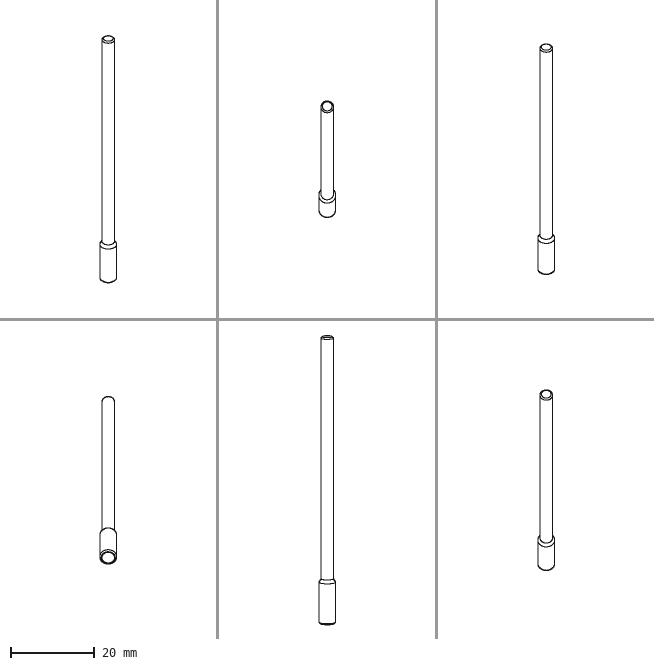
import cadquery as cq

total_length = 70.0
rod_diameter = 3.0
sleeve_diameter = 4.05

shoulder_bottom = 10.1
shoulder_height = 0.85
sleeve_chamfer = 0.35

rod_chamfer = 0.35

rod_radius = rod_diameter / 2
sleeve_radius = sleeve_diameter / 2
shoulder_top = shoulder_bottom + shoulder_height


def make_rod():
    """Straight round rod over the full length, chamfered at its top end."""
    rod = cq.Workplane("XY").circle(rod_radius).extrude(total_length)
    return rod.faces(">Z").chamfer(rod_chamfer)


def make_sleeve():
    """Turned sleeve around the lower end of the rod; its shoulder tapers to the rod surface."""
    return (
        cq.Workplane("XZ")
        .moveTo(rod_radius, 0)
        .lineTo(sleeve_radius - sleeve_chamfer, 0)
        .lineTo(sleeve_radius, sleeve_chamfer)
        .lineTo(sleeve_radius, shoulder_bottom)
        .lineTo(rod_radius, shoulder_top)
        .close()
        .revolve(360, (0, 0, 0), (0, 1, 0))
    )


rod = make_rod()
sleeve = make_sleeve()

result = cq.Compound.makeCompound([rod.val(), sleeve.val()])